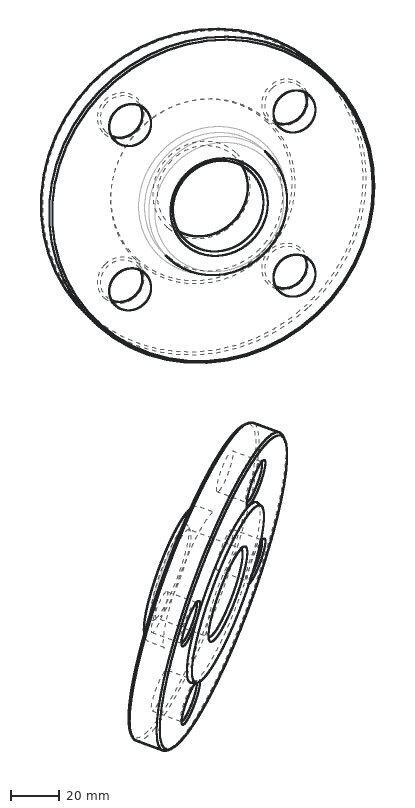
import cadquery as cq
import math

raised_face_height = 2.0
plate_back = 16.0
total_length = 26.0

flange_diameter = 140.0
raised_face_diameter = 78.0
hub_diameter = 59.5
bore_diameter = 38.95
bore_mouth_diameter = 41.91
bolt_circle_diameter = 100.0
bolt_hole_diameter = 18.0
bolt_hole_count = 4

rim_chamfer = 1.0
raised_face_flare = 0.7
hub_root_fillet = 2.0
hub_end_fillet = 2.0
bolt_hole_chamfer = 1.0


def revolve_about_x(sketch):
    """Turn a half profile, drawn as (x, radius), about the X axis."""
    return sketch.close().revolve(360, (0, 0, 0), (1, 0, 0))


def make_body():
    """Flange plate with its tapered raised face and rounded hub."""
    flange_radius = flange_diameter / 2
    face_radius = raised_face_diameter / 2
    hub_radius = hub_diameter / 2
    diagonal = math.sqrt(0.5)
    root_center_x = plate_back + hub_root_fillet
    root_center_r = hub_radius + hub_root_fillet
    end_center_x = total_length - hub_end_fillet
    end_center_r = hub_radius - hub_end_fillet
    root_middle = (root_center_x - hub_root_fillet * diagonal, root_center_r - hub_root_fillet * diagonal)
    end_middle = (end_center_x + hub_end_fillet * diagonal, end_center_r + hub_end_fillet * diagonal)
    profile = (
        cq.Workplane("XY")
        .lineTo(0, face_radius)
        .lineTo(raised_face_height, face_radius + raised_face_flare)
        .lineTo(raised_face_height, flange_radius - rim_chamfer)
        .lineTo(raised_face_height + rim_chamfer, flange_radius)
        .lineTo(plate_back - rim_chamfer, flange_radius)
        .lineTo(plate_back, flange_radius - rim_chamfer)
        .lineTo(plate_back, root_center_r)
        .threePointArc(root_middle, (root_center_x, hub_radius))
        .lineTo(end_center_x, hub_radius)
        .threePointArc(end_middle, (total_length, end_center_r))
        .lineTo(total_length, 0)
    )
    return revolve_about_x(profile)


def make_cutter(diameter, start_x, end_x):
    """Straight round cutter along X."""
    return cq.Workplane("YZ", origin=(start_x, 0, 0)).circle(diameter / 2).extrude(end_x - start_x)


def make_countersink(mouth_diameter, hole_diameter, mouth_x, inward):
    """45 degree cone from its mouth down to the hole; inward is +1 or -1 along X."""
    mouth_radius = mouth_diameter / 2
    hole_radius = hole_diameter / 2
    inner_x = mouth_x + inward * (mouth_radius - hole_radius)
    profile = (
        cq.Workplane("XY")
        .moveTo(mouth_x, 0)
        .lineTo(mouth_x, mouth_radius)
        .lineTo(inner_x, hole_radius)
        .lineTo(inner_x, 0)
    )
    return revolve_about_x(profile)


def cut_bore(body):
    """Central through bore, countersunk at both ends."""
    body = body.cut(make_cutter(bore_diameter, 0, total_length))
    for mouth_x, inward in ((0, 1), (total_length, -1)):
        body = body.cut(make_countersink(bore_mouth_diameter, bore_diameter, mouth_x, inward))
    return body


def cut_bolt_holes(body):
    """Bolt holes midway between the Y and Z axes, countersunk on the sealing side."""
    mouth_diameter = bolt_hole_diameter + 2 * bolt_hole_chamfer
    cutter = make_cutter(bolt_hole_diameter, raised_face_height, plate_back).union(
        make_countersink(mouth_diameter, bolt_hole_diameter, raised_face_height, 1)
    )
    cutter = cutter.translate((0, bolt_circle_diameter / 2, 0))
    pitch_angle = 360 / bolt_hole_count
    for index in range(bolt_hole_count):
        angle = (index + 0.5) * pitch_angle
        body = body.cut(cutter.rotate((0, 0, 0), (1, 0, 0), angle))
    return body


result = cut_bolt_holes(cut_bore(make_body()))